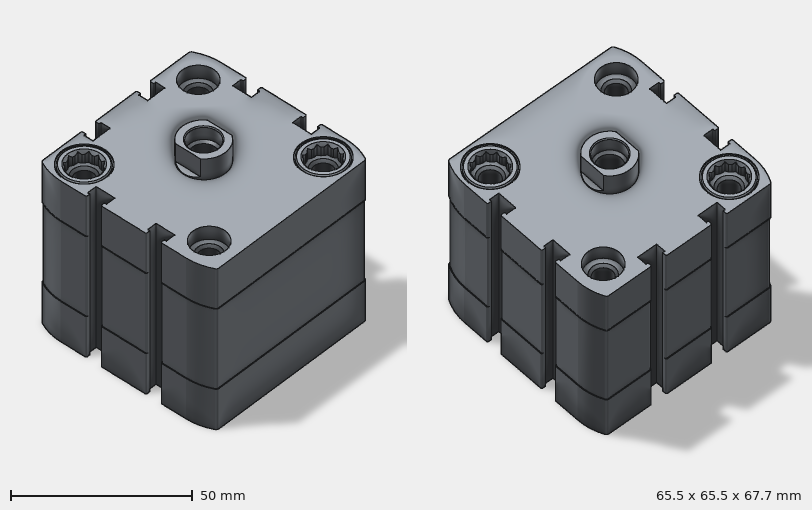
import cadquery as cq
import math

width = 65.5
half_width = width / 2
total_height = 67.7
housing_height = 59.9
cover_height = 15.0
barrel_inset = 0.3

chamfer_slope = 45
margin = 0.7

arc_start = 23.35
corner_arc_radius = 19.3
corner_blend_radius = 1.0

slot_offset = 11.2
slot_neck_width = 5.4
slot_neck_depth = 1.5
slot_width = 7.0
slot_depth = 4.9
slot_lip_radius = 0.4

hole_offset = 23.3
bore_diameter = 6.65
bore_chamfer_diameter = 8.4
counterbore_diameter = 12.0
counterbore_depth = 4.9

cap_recess_diameter = 16.4
cap_diameter = 15.5
cap_face_diameter = 14.75
cap_rim_depth = 0.5
socket_mouth_diameter = 12.3
socket_mouth_depth = 1.35
socket_tip_diameter = 11.7
socket_root_diameter = 10.75
socket_points = 12
socket_depth = 4.55

rod_diameter = 16.0
flat_spacing = 13.0
flat_height = 6.65
flat_runout_angle = 30
thread_mouth_diameter = 11.2
thread_bore_diameter = 10.5
thread_bore_depth = 4.8
drill_diameter = 8.4
drill_depth = 16.25
drill_slope = 30


def cone_drop(large_diameter, small_diameter, slope):
    """Height of a cone between two diameters, for a slope measured from horizontal."""
    return (large_diameter - small_diameter) / 2 * math.tan(math.radians(slope))


def cylinder(diameter, bottom, top, x=0, y=0):
    return cq.Workplane("XY", origin=(x, y, bottom)).circle(diameter / 2).extrude(top - bottom)


def cone(top_diameter, bottom_diameter, top, drop, x=0, y=0):
    """Solid frustum, or a pointed cone if the bottom diameter is zero."""
    solid = cq.Solid.makeCone(
        bottom_diameter / 2, top_diameter / 2, drop, cq.Vector(x, y, top - drop)
    )
    return cq.Workplane(obj=solid)


def housing_outline(inset, bottom, top):
    """Prism of the rounded outline, moved inwards by the inset."""
    side = half_width - inset
    radius = corner_arc_radius - inset
    arc_centre_y = half_width - corner_arc_radius

    def arc_y(x):
        return arc_centre_y + math.sqrt(radius**2 - (x - arc_start) ** 2)

    corner_y = arc_y(side)
    middle_x = (arc_start + side) / 2
    middle_y = arc_y(middle_x)
    prism = (
        cq.Workplane("XY", origin=(0, 0, bottom))
        .moveTo(-arc_start, side)
        .lineTo(arc_start, side)
        .threePointArc((middle_x, middle_y), (side, corner_y))
        .lineTo(side, -corner_y)
        .threePointArc((middle_x, -middle_y), (arc_start, -side))
        .lineTo(-arc_start, -side)
        .threePointArc((-middle_x, -middle_y), (-side, -corner_y))
        .lineTo(-side, corner_y)
        .threePointArc((-middle_x, middle_y), (-arc_start, side))
        .close()
        .extrude(top - bottom)
    )
    corner_edges = prism.faces("<X or >X").edges("|Z")
    return corner_edges.fillet(corner_blend_radius)


def slot_cutter(inset, bottom, top):
    """T-slot with rounded lips, opening towards -Y at x = 0."""
    outer = -half_width + inset
    lip = outer + slot_lip_radius
    ledge = -half_width + slot_neck_depth
    floor = -half_width + slot_depth
    neck = slot_neck_width / 2
    mouth = neck + slot_lip_radius
    bulge = slot_lip_radius * (1 - math.sqrt(0.5))
    outside = outer - margin
    return (
        cq.Workplane("XY", origin=(0, 0, bottom))
        .moveTo(-mouth, outside)
        .lineTo(-mouth, outer)
        .threePointArc((-neck - bulge, outer + bulge), (-neck, lip))
        .lineTo(-neck, ledge)
        .lineTo(-slot_width / 2, ledge)
        .lineTo(-slot_width / 2, floor)
        .lineTo(slot_width / 2, floor)
        .lineTo(slot_width / 2, ledge)
        .lineTo(neck, ledge)
        .lineTo(neck, lip)
        .threePointArc((neck + bulge, outer + bulge), (mouth, outer))
        .lineTo(mouth, outside)
        .close()
        .extrude(top - bottom)
    )


def housing_section(inset, bottom, top):
    """One height band of the housing with its slots on the -Y, -X and +Y sides."""
    section = housing_outline(inset, bottom, top)
    cutter = slot_cutter(inset, bottom, top)
    for turn in (0, -90, 180):
        for offset in (-slot_offset, slot_offset):
            slot = cutter.translate((offset, 0, 0)).rotate((0, 0, 0), (0, 0, 1), turn)
            section = section.cut(slot)
    return section


def cut_bore(body, floor, x, y):
    """Through bore with a chamfer at the given floor level."""
    body = body.cut(cylinder(bore_diameter, 0, floor, x, y))
    drop = cone_drop(bore_chamfer_diameter, bore_diameter, chamfer_slope)
    return body.cut(cone(bore_chamfer_diameter, bore_diameter, floor, drop, x, y))


def cut_counterbored_hole(body, x, y):
    floor = housing_height - counterbore_depth
    body = body.cut(cylinder(counterbore_diameter, floor, housing_height, x, y))
    return cut_bore(body, floor, x, y)


def cut_screw_cap(body, x, y):
    """Cap rim in a shallow groove, with a twelve-point socket down to the bore."""
    rim_floor = housing_height - cap_rim_depth
    rim = cone(cap_face_diameter, cap_diameter, housing_height, cap_rim_depth, x, y)
    groove = cylinder(cap_recess_diameter, rim_floor, housing_height, x, y).cut(rim)

    floor = housing_height - socket_depth
    socket = cylinder(socket_root_diameter, floor, housing_height, x, y)
    for index in range(2):
        hexagon = (
            cq.Workplane("XY", origin=(x, y, floor))
            .transformed(rotate=(0, 0, index * 360 / socket_points))
            .polygon(socket_points // 2, socket_tip_diameter)
            .extrude(socket_depth)
        )
        socket = socket.union(hexagon)
    mouth = cone(
        socket_mouth_diameter, socket_root_diameter, housing_height, socket_mouth_depth, x, y
    )
    return cut_bore(body.cut(groove).cut(socket).cut(mouth), floor, x, y)


def make_housing():
    barrel_bottom = cover_height
    barrel_top = housing_height - cover_height
    body = housing_section(0, 0, barrel_bottom)
    body = body.union(housing_section(barrel_inset, barrel_bottom, barrel_top))
    body = body.union(housing_section(0, barrel_top, housing_height))
    for side in (-1, 1):
        body = cut_counterbored_hole(body, side * hole_offset, -side * hole_offset)
        body = cut_screw_cap(body, side * hole_offset, side * hole_offset)
    return body.cut(cylinder(rod_diameter, barrel_top, housing_height))


def make_rod():
    rod = cylinder(rod_diameter, housing_height - cover_height, total_height)

    half_flat = flat_spacing / 2
    outside = rod_diameter / 2 + margin
    flat_bottom = total_height - flat_height
    runout = (outside - half_flat) * math.tan(math.radians(flat_runout_angle))
    for side in (-1, 1):
        flat = (
            cq.Workplane("YZ")
            .moveTo(side * half_flat, total_height)
            .lineTo(side * half_flat, flat_bottom)
            .lineTo(side * outside, flat_bottom - runout)
            .lineTo(side * outside, total_height)
            .close()
            .extrude(rod_diameter / 2, both=True)
        )
        rod = rod.cut(flat)

    mouth_drop = cone_drop(thread_mouth_diameter, thread_bore_diameter, chamfer_slope)
    step = total_height - thread_bore_depth
    step_drop = cone_drop(thread_bore_diameter, drill_diameter, drill_slope)
    drill_end = total_height - drill_depth
    point_drop = cone_drop(drill_diameter, 0, drill_slope)
    rod = rod.cut(cone(thread_mouth_diameter, thread_bore_diameter, total_height, mouth_drop))
    rod = rod.cut(cylinder(thread_bore_diameter, step, total_height))
    rod = rod.cut(cone(thread_bore_diameter, drill_diameter, step, step_drop))
    rod = rod.cut(cylinder(drill_diameter, drill_end, step))
    return rod.cut(cone(drill_diameter, 0, drill_end, point_drop))


housing = make_housing()
piston_rod = make_rod()

result = cq.Compound.makeCompound([housing.val(), piston_rod.val()])